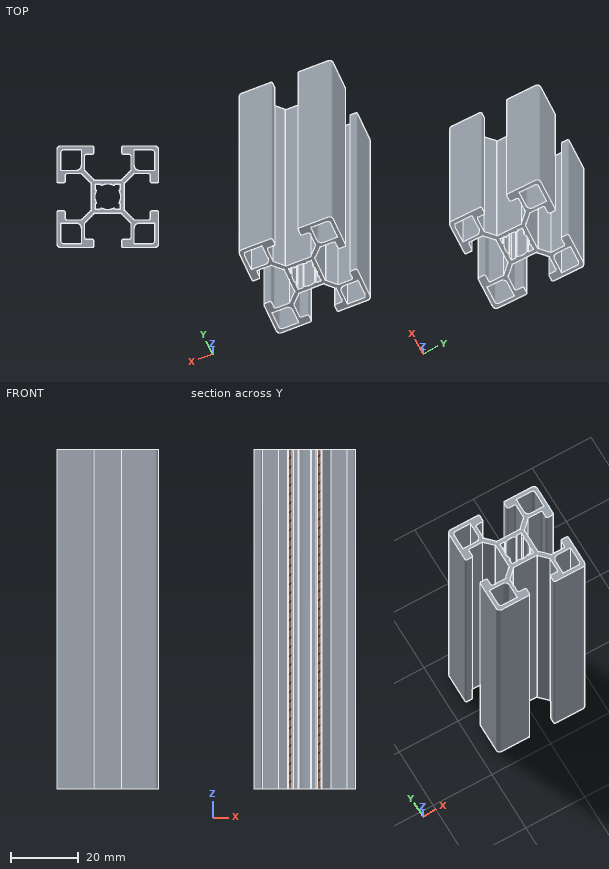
import cadquery as cq
import math

side = 30.0
length = 100.0
corner_radius = 1.2

slot_opening = 8.2
lip_thickness = 2.5
lip_edge_radius = 0.5
chamber_width = 13.6
chamber_corner_radius = 0.5
core_width = 9.8
web_thickness = 1.4

outer_wall = 1.2
pocket_wall = 1.0
pocket_outer_radius = 0.9
pocket_inner_radius = 1.5

bore_diameter = 7.5
rib_span = 6.7
notch_span = 7.3
notch_size = 1.6

half_side = side / 2
half_opening = slot_opening / 2
half_chamber = chamber_width / 2
half_core = core_width / 2
web_offset = web_thickness / math.sqrt(2)


def make_slot():
    """Cutter for the T-slot on the +Y side."""
    lip_inside = half_side - lip_thickness
    floor_half = half_core - web_offset
    chamber_start = half_chamber + web_offset
    chamber = (
        cq.Workplane("XY")
        .polyline([
            (-floor_half, half_core),
            (floor_half, half_core),
            (half_chamber, chamber_start),
            (half_chamber, lip_inside),
            (-half_chamber, lip_inside),
            (-half_chamber, chamber_start),
        ])
        .close()
        .extrude(length)
        .edges("|Z and >Y")
        .fillet(chamber_corner_radius)
    )
    opening = (
        cq.Workplane("XY")
        .center(0, (half_core + half_side) / 2)
        .rect(slot_opening, half_side - half_core)
        .extrude(length)
    )
    return chamber.union(opening)


def make_pocket():
    """Cutter for the hollow in the +X +Y corner."""
    near = half_chamber + pocket_wall
    far = half_side - outer_wall
    outer_edge = cq.selectors.NearestToPointSelector((far, far, length / 2))
    inner_edge = cq.selectors.NearestToPointSelector((near, near, length / 2))
    return (
        cq.Workplane("XY")
        .center((near + far) / 2, (near + far) / 2)
        .rect(far - near, far - near)
        .extrude(length)
        .edges(outer_edge)
        .fillet(pocket_outer_radius)
        .edges(inner_edge)
        .fillet(pocket_inner_radius)
    )


def make_bore():
    """Cutter for the central bore with its corner notches."""
    notch_spacing = notch_span - notch_size
    round_hole = cq.Workplane("XY").circle(bore_diameter / 2).extrude(length)
    rib_trim = cq.Workplane("XY").rect(rib_span, rib_span).extrude(length)
    notches = (
        cq.Workplane("XY")
        .rarray(notch_spacing, notch_spacing, 2, 2)
        .rect(notch_size, notch_size)
        .extrude(length)
    )
    return round_hole.union(rib_trim).union(notches)


def is_lip_edge(edge):
    """True for the upright edges at the tips of the slot lips."""
    center = edge.Center()
    across = min(abs(center.x), abs(center.y))
    outward = max(abs(center.x), abs(center.y))
    return math.isclose(across, half_opening, abs_tol=0.01) and outward > half_chamber


profile = (
    cq.Workplane("XY")
    .rect(side, side)
    .extrude(length)
    .edges("|Z")
    .fillet(corner_radius)
)

slot = make_slot()
pocket = make_pocket()
for angle in (0, 90, 180, 270):
    profile = profile.cut(slot.rotate((0, 0, 0), (0, 0, 1), angle))
    profile = profile.cut(pocket.rotate((0, 0, 0), (0, 0, 1), angle))

profile = profile.edges("|Z").filter(is_lip_edge).fillet(lip_edge_radius)

result = profile.cut(make_bore())